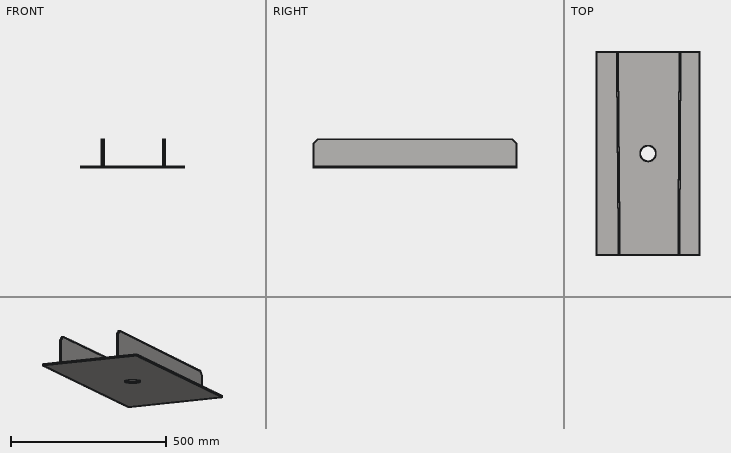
import cadquery as cq

PLATE_WIDTH = 333.4
PLATE_LENGTH = 656.0
PLATE_THICKNESS = 5.0
HOLE_DIAMETER = 50.0

TOTAL_HEIGHT = 92.0
RIB_LENGTH = PLATE_LENGTH
RIB_THICKNESS = 5.0
RIB_CORNER_CHAMFER = 14.2

LEFT_RIB_PIVOT_X = -98.8
LEFT_RIB_ANGLE = 0.516
RIGHT_RIB_PIVOT_X = 99.5
RIGHT_RIB_ANGLE = -0.325
REAR_END_Y = PLATE_LENGTH / 2
FRONT_END_Y = -PLATE_LENGTH / 2


def make_plate():
    """Flat plate with a round hole through its centre."""
    return (
        cq.Workplane("XY")
        .box(PLATE_WIDTH, PLATE_LENGTH, PLATE_THICKNESS, centered=(True, True, False))
        .faces(">Z")
        .workplane()
        .hole(HOLE_DIAMETER)
    )


def make_rib(pivot_x, pivot_y, angle):
    """Upright rib with chamfered top corners, turned about Z by angle degrees at the pivot."""
    height = TOTAL_HEIGHT - PLATE_THICKNESS
    return (
        cq.Workplane("XY")
        .box(RIB_THICKNESS, RIB_LENGTH, height, centered=(True, True, False))
        .edges(">Z and |X")
        .chamfer(RIB_CORNER_CHAMFER)
        .translate((pivot_x, 0, PLATE_THICKNESS))
        .rotate((pivot_x, pivot_y, 0), (pivot_x, pivot_y, 1), angle)
    )


left_rib = make_rib(LEFT_RIB_PIVOT_X, REAR_END_Y, LEFT_RIB_ANGLE)
right_rib = make_rib(RIGHT_RIB_PIVOT_X, FRONT_END_Y, RIGHT_RIB_ANGLE)
result = make_plate().union(left_rib).union(right_rib)